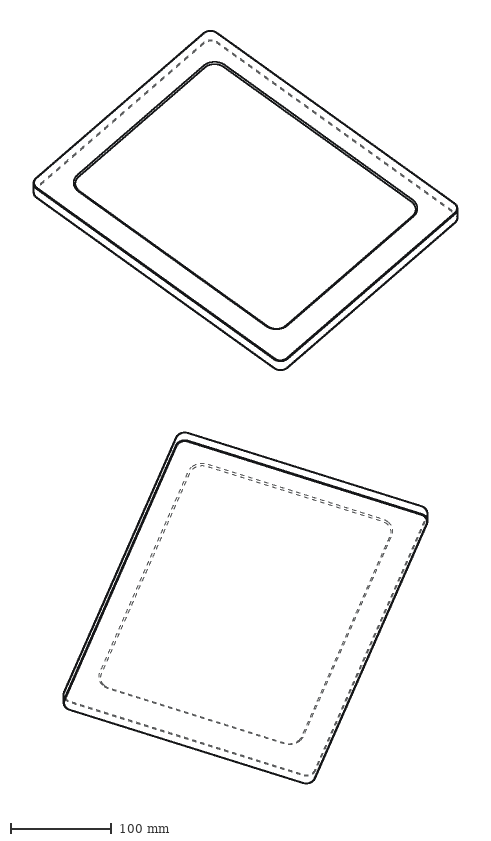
import cadquery as cq

length = 337.8
width = 266.0
thickness = 16.0
corner_radius = 9.5
edge_chamfer = 0.75

recess_length = 281.7
recess_width = 215.5
recess_depth = 1.5
recess_corner_radius = 15.0
wall_run = 1.75
floor_corner_radius = recess_corner_radius - wall_run


def rounded_rectangle(size_x, size_y, radius):
    """Rectangle centred on the origin with rounded corners."""
    return cq.Sketch().rect(size_x, size_y).vertices().fillet(radius)


plate = cq.Workplane("XY").placeSketch(rounded_rectangle(length, width, corner_radius)).extrude(thickness)
plate = plate.faces("<Z or >Z").edges().chamfer(edge_chamfer)

floor_outline = rounded_rectangle(recess_length - 2 * wall_run, recess_width - 2 * wall_run, floor_corner_radius)
mouth_outline = rounded_rectangle(recess_length, recess_width, recess_corner_radius)
recess = (
    cq.Workplane("XY")
    .workplane(offset=thickness - recess_depth)
    .placeSketch(floor_outline, mouth_outline.moved(cq.Location(cq.Vector(0, 0, recess_depth))))
    .loft()
)

result = plate.cut(recess)